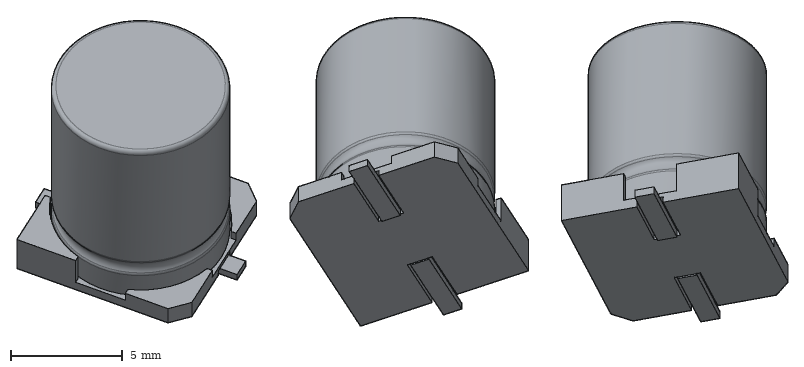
import cadquery as cq
import math


total_height = 10.25
lead_span = 10.0
base_width = 8.3

base_bottom = 0.08
base_low_top = 1.05
base_high_top = 2.05
corner_chamfer = 0.8
notch_width = 2.46
cavity_floor = 0.58
cavity_clearance = 0.08

lead_width = 0.9
lead_thickness = 0.38
lead_gap = 3.04
slot_width = 1.23

can_radius = 4.0
edge_radius = 0.2
groove_height = 2.4
groove_half_width = 0.47
groove_depth = 0.169


def block(x_min, x_max, width, z_min, z_max):
    """Box between two X and two Z positions, centred on Y."""
    size = (x_max - x_min, width, z_max - z_min)
    return cq.Workplane("XY").box(*size, centered=(False, True, False)).translate((x_min, 0, z_min))


def make_base():
    """Square base, tall at the -X corners, low and chamfered at the +X corners."""
    half = base_width / 2
    base = block(-half, half, base_width, base_bottom, base_high_top)
    base = base.edges("|Z and >X").chamfer(corner_chamfer)
    base = base.cut(block(notch_width / 2, half, base_width, base_low_top, base_high_top))

    cavity_depth = base_high_top - cavity_floor
    cavity = cq.Workplane("XY", origin=(0, 0, cavity_floor))
    base = base.cut(cavity.circle(can_radius + cavity_clearance).extrude(cavity_depth))
    base = base.cut(block(-half, half, notch_width, cavity_floor, base_high_top))
    notch_along_y = block(-notch_width / 2, notch_width / 2, base_width, cavity_floor, base_high_top)
    return base.cut(notch_along_y)


def make_can():
    """Turned can with a rounded top edge and a rolled groove above the base."""
    arc_angle = 2 * math.atan(groove_depth / groove_half_width)
    arc_radius = groove_half_width / math.sin(arc_angle) - edge_radius
    groove_radius = can_radius - groove_depth
    join_radius = groove_radius + arc_radius * (1 - math.cos(arc_angle))
    join_offset = arc_radius * math.sin(arc_angle)
    lip_mid_radius = can_radius - edge_radius * (1 - math.cos(arc_angle / 2))
    lip_mid_offset = groove_half_width - edge_radius * math.sin(arc_angle / 2)

    profile = (
        cq.Workplane("XZ")
        .moveTo(0, cavity_floor)
        .lineTo(can_radius, cavity_floor)
        .lineTo(can_radius, groove_height - groove_half_width)
        .threePointArc(
            (lip_mid_radius, groove_height - lip_mid_offset),
            (join_radius, groove_height - join_offset),
        )
        .threePointArc((groove_radius, groove_height), (join_radius, groove_height + join_offset))
        .threePointArc(
            (lip_mid_radius, groove_height + lip_mid_offset),
            (can_radius, groove_height + groove_half_width),
        )
        .lineTo(can_radius, total_height)
        .lineTo(0, total_height)
        .close()
    )
    can = profile.revolve(360, (0, 0), (0, 1))
    return can.faces(">Z").edges().fillet(edge_radius)


def make_slots_and_leads():
    """Bottom slots and the flat leads in them, mirrored across the YZ plane."""
    inner_end = lead_gap / 2
    slot = block(inner_end, base_width / 2, slot_width, base_bottom, lead_thickness)
    lead = block(inner_end, lead_span / 2, lead_width, 0, lead_thickness)
    return slot.union(slot.mirror("YZ")), lead.union(lead.mirror("YZ"))


slots, leads = make_slots_and_leads()
result = make_base().cut(slots).union(leads).union(make_can())